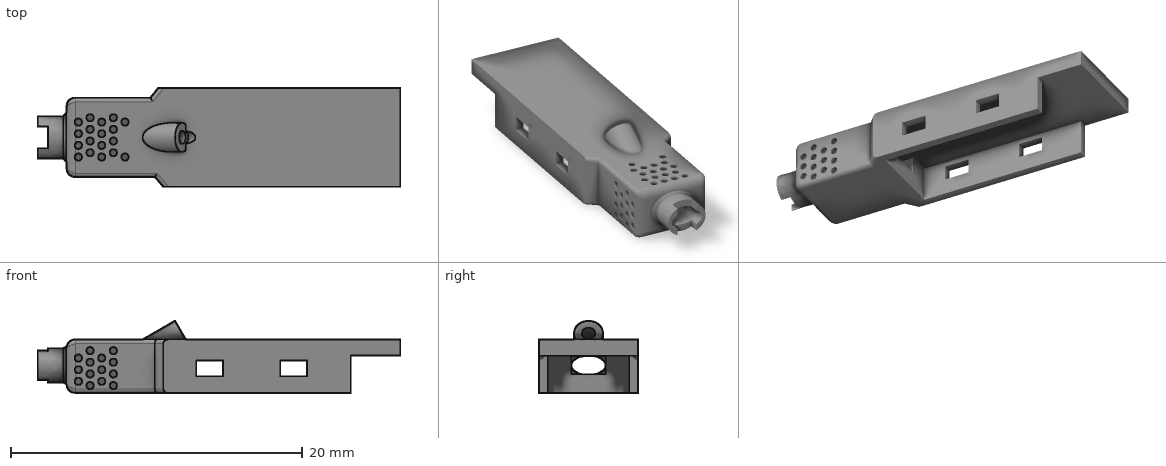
import cadquery as cq
import math

TOTAL_LENGTH = 24.9
TOTAL_HEIGHT = 4.96

BODY_WIDTH = 6.8
BODY_HEIGHT = 3.68
NECK_WIDTH = 5.46
NECK_START = 1.98
FRONT_SHOULDER = (8.05, 8.63)
BACK_SHOULDER = (7.75, 8.28)
FACE_FILLET = 0.6
EDGE_FILLET = 0.28
TAIL_START = 21.5
TAIL_THICKNESS = 1.12

CAVITY_WALL = 0.62
CAVITY_START = FRONT_SHOULDER[1] + CAVITY_WALL

WINDOW_LENGTH = 1.82
WINDOW_BOTTOM = 1.16
WINDOW_TOP = 2.22
WINDOW_STARTS = (10.89, 16.66)

NOZZLE_Z = 1.9
NOZZLE_WIDTH = 2.92
NOZZLE_HEIGHT = 2.36
ROOT_WIDTH = 3.42
ROOT_HEIGHT = 2.6
ROOT_LENGTH = 0.22
BORE_WIDTH = 2.36
BORE_HEIGHT = 1.36
PASSAGE_HEIGHT = 1.22
TIP_SLOT_WIDTH = 1.46
TIP_SLOT_DEPTH = 0.71

POST_RADIUS = 1.0
POST_TILT = 30.0
POST_END_X = 9.93
POST_BURIED_LENGTH = 3.2
POST_HOLE_DIAMETER = 0.9
POST_HOLE_DEPTH = 3.4
RECESS_DROP = 0.36

DIMPLE_DIAMETER = 0.5
DIMPLE_DEPTH = 0.3
DIMPLE_PITCH = 0.8
DIMPLE_START = 2.8
TOP_COLUMNS = 5
TOP_ROWS = 4
TOP_ROW_OFFSET = 1.35
SIDE_COLUMNS = 4
SIDE_ROWS_LOW = (0.8, 3)
SIDE_ROWS_HIGH = (0.51, 4)


def make_body():
    """Plan outline with a narrower neck, the neck edges rounded and the tail undercut."""
    neck_y = NECK_WIDTH / 2
    body_y = BODY_WIDTH / 2
    body = (
        cq.Workplane("XY")
        .moveTo(NECK_START, -neck_y)
        .lineTo(FRONT_SHOULDER[0], -neck_y)
        .lineTo(FRONT_SHOULDER[1], -body_y)
        .lineTo(TOTAL_LENGTH, -body_y)
        .lineTo(TOTAL_LENGTH, body_y)
        .lineTo(BACK_SHOULDER[1], body_y)
        .lineTo(BACK_SHOULDER[0], neck_y)
        .lineTo(NECK_START, neck_y)
        .close()
        .extrude(BODY_HEIGHT)
    )
    neck_edges = cq.selectors.BoxSelector(
        (NECK_START + FACE_FILLET, -BODY_WIDTH, -BODY_HEIGHT),
        (FRONT_SHOULDER[1], BODY_WIDTH, 2 * BODY_HEIGHT),
    )
    body = body.edges(neck_edges).edges("#Z").fillet(EDGE_FILLET)
    body = body.faces("<X").edges().fillet(FACE_FILLET)
    undercut = cq.Workplane("XY").box(
        TOTAL_LENGTH - TAIL_START, BODY_WIDTH, BODY_HEIGHT - TAIL_THICKNESS, centered=(False, True, False)
    )
    return body.cut(undercut.translate((TAIL_START, 0, 0)))


def nozzle_section(x, width, height):
    """Ellipse on a plane across X, centred on the nozzle axis."""
    plane = cq.Workplane("YZ", origin=(x, 0, NOZZLE_Z))
    return plane.ellipse(width / 2, height / 2)


def make_nozzle():
    tube = nozzle_section(0, NOZZLE_WIDTH, NOZZLE_HEIGHT).extrude(NECK_START + FACE_FILLET)
    root = (
        nozzle_section(NECK_START - ROOT_LENGTH, NOZZLE_WIDTH, NOZZLE_HEIGHT)
        .workplane(offset=ROOT_LENGTH)
        .ellipse(ROOT_WIDTH / 2, ROOT_HEIGHT / 2)
        .loft(ruled=True)
    )
    slot = cq.Workplane("XY").box(
        TIP_SLOT_DEPTH, TIP_SLOT_WIDTH, TOTAL_HEIGHT, centered=(False, True, False)
    )
    return tube.union(root).cut(slot)


def make_bore():
    return nozzle_section(0, BORE_WIDTH, BORE_HEIGHT).extrude(NECK_START)


def make_passage():
    length = CAVITY_START - NECK_START
    passage = cq.Workplane("XY").box(length, BORE_WIDTH, PASSAGE_HEIGHT, centered=(False, True, True))
    return passage.translate((NECK_START, 0, NOZZLE_Z))


def make_cavity():
    length = TAIL_START - CAVITY_START
    width = BODY_WIDTH - 2 * CAVITY_WALL
    height = BODY_HEIGHT - TAIL_THICKNESS
    cavity = cq.Workplane("XY").box(length, width, height, centered=(False, True, False))
    return cavity.translate((CAVITY_START, 0, 0))


def make_window(start):
    window = cq.Workplane("XY").box(
        WINDOW_LENGTH, BODY_WIDTH, WINDOW_TOP - WINDOW_BOTTOM, centered=(False, True, False)
    )
    return window.translate((start, 0, WINDOW_BOTTOM))


def post_end_plane():
    """Plane of the post's free end, its normal pointing out along the post axis."""
    tilt = math.radians(POST_TILT)
    end_z = TOTAL_HEIGHT - POST_RADIUS * math.cos(tilt)
    axis = (math.cos(tilt), 0, math.sin(tilt))
    return cq.Plane(origin=(POST_END_X, 0, end_z), xDir=(0, 1, 0), normal=axis)


def make_post():
    return cq.Workplane(post_end_plane()).circle(POST_RADIUS).extrude(-POST_BURIED_LENGTH)


def make_post_hole():
    return cq.Workplane(post_end_plane()).circle(POST_HOLE_DIAMETER / 2).extrude(-POST_HOLE_DEPTH)


def make_recess():
    """Scoop in the top face, running outward from the post's end plane parallel to the post."""
    end_plane = cq.Workplane(post_end_plane())
    return end_plane.center(0, -RECESS_DROP).circle(POST_HOLE_DIAMETER / 2).extrude(POST_RADIUS)


def column_x(column):
    return DIMPLE_START + column * DIMPLE_PITCH


def top_dimple_points():
    """Four staggered columns of four dimples and a last column holding only its outer two."""
    points = []
    for column in range(TOP_COLUMNS):
        side = -1 if column % 2 == 0 else 1
        rows = (0, TOP_ROWS - 1) if column == TOP_COLUMNS - 1 else range(TOP_ROWS)
        for row in rows:
            points.append((column_x(column), side * (TOP_ROW_OFFSET - row * DIMPLE_PITCH)))
    return points


def side_dimple_points():
    points = []
    for column in range(SIDE_COLUMNS):
        lowest, count = SIDE_ROWS_LOW if column % 2 == 0 else SIDE_ROWS_HIGH
        for row in range(count):
            points.append((column_x(column), lowest + row * DIMPLE_PITCH))
    return points


def make_top_dimples():
    plane = cq.Workplane("XY", origin=(0, 0, BODY_HEIGHT))
    return plane.pushPoints(top_dimple_points()).circle(DIMPLE_DIAMETER / 2).extrude(-DIMPLE_DEPTH)


def make_side_dimples():
    plane = cq.Workplane("XZ", origin=(0, -NECK_WIDTH / 2, 0))
    return plane.pushPoints(side_dimple_points()).circle(DIMPLE_DIAMETER / 2).extrude(-DIMPLE_DEPTH)


result = make_body().union(make_nozzle()).union(make_post())
result = result.cut(make_bore()).cut(make_passage()).cut(make_cavity())
result = result.cut(make_post_hole()).cut(make_recess())
for window_start in WINDOW_STARTS:
    result = result.cut(make_window(window_start))
result = result.cut(make_top_dimples())
side_dimples = make_side_dimples()
result = result.cut(side_dimples).cut(side_dimples.mirror("XZ"))